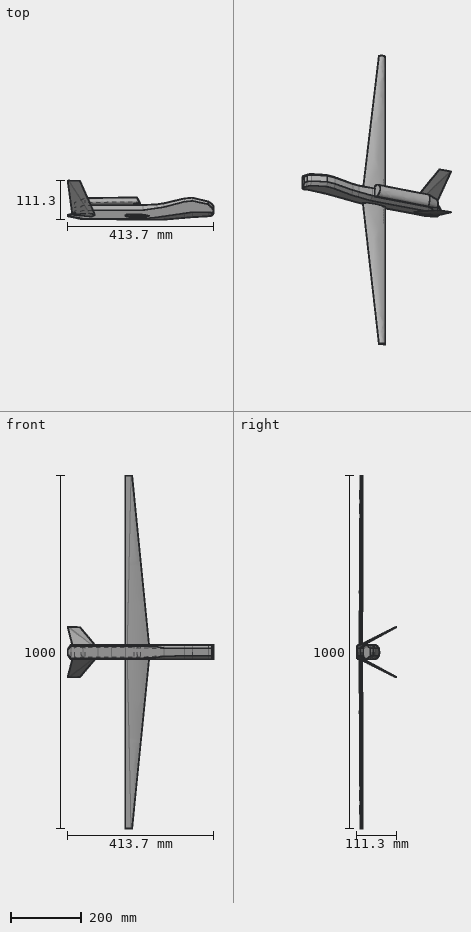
import cadquery as cq

LENGTH = 413.7
SPAN = 1000.0
HEIGHT = 111.25

BODY_HALF = 20.4
BELLY_HALF = 16.8
NOSE_FLAT_HALF = 10.5
DECK_HALF = 13.0
CHINE_Y = 27.0
DECK_Y = 42.0
TAIL_LIP_Y = 12.0

FUSELAGE_STATIONS = [
    (0.0, TAIL_LIP_Y - 2.0, 6.0, TAIL_LIP_Y - 1.0, 7.0, TAIL_LIP_Y + 1.0, TAIL_LIP_Y + 2.0, 6.0),
    (9.0, 8.1, BELLY_HALF, 9.5, BODY_HALF, 15.0, 16.0, BELLY_HALF),
    (43.0, 0.8, BELLY_HALF, 3.3, BODY_HALF, CHINE_Y, DECK_Y, DECK_HALF),
    (85.0, 1.5, BELLY_HALF, 3.5, BODY_HALF, CHINE_Y, DECK_Y, DECK_HALF),
    (124.0, 1.4, BELLY_HALF, 3.5, BODY_HALF, CHINE_Y, DECK_Y, DECK_HALF),
    (163.0, 0.0, BELLY_HALF, 3.0, BODY_HALF, CHINE_Y, DECK_Y, DECK_HALF),
    (213.0, 0.0, BELLY_HALF, 3.0, BODY_HALF, CHINE_Y, DECK_Y, DECK_HALF),
    (253.0, 0.0, 15.0, 7.0, BODY_HALF, 33.0, 44.0, NOSE_FLAT_HALF),
    (273.0, 0.0, 11.5, 10.0, BODY_HALF, 36.0, 47.0, NOSE_FLAT_HALF),
    (330.0, 5.0, NOSE_FLAT_HALF, 18.2, BODY_HALF, 51.0, 60.5, NOSE_FLAT_HALF),
    (353.0, 7.0, NOSE_FLAT_HALF, 21.5, BODY_HALF, 53.5, 63.0, NOSE_FLAT_HALF),
    (398.0, 9.5, NOSE_FLAT_HALF, 21.5, BODY_HALF, 44.0, 52.0, NOSE_FLAT_HALF),
    (408.0, 11.0, NOSE_FLAT_HALF, 20.0, BODY_HALF, 34.0, 46.0, NOSE_FLAT_HALF),
    (LENGTH, 18.0, NOSE_FLAT_HALF, 22.0, BODY_HALF, 27.0, 38.0, NOSE_FLAT_HALF),
]

NACELLE_HALF = 19.8
NACELLE_AFT_X = 19.0
NACELLE_FULL_X = 48.0
NACELLE_TOP_AFT_Y = 61.8
NACELLE_TOP_FRONT_Y = 64.0
NACELLE_BOTTOM_Y = 38.0
NACELLE_EXHAUST_HALF = 13.0
NACELLE_EXHAUST_BOTTOM_Y = 36.0
NACELLE_EXHAUST_TOP_Y = 49.0
INTAKE_TOP_X = 196.0
INTAKE_BOTTOM_X = 206.0
GAP_START_X = 188.0
GAP_TOP_Y = 45.8

WING_TRAILING_X = 163.0
WING_ROOT_LEADING_X = 233.0
WING_TIP_LEADING_X = 183.0
WING_ROOT_CREASE_X = 168.0
WING_TIP_CREASE_X = 178.9
WING_MEAN_Y = 11.0
WING_ROOT_THICKNESS = 9.5
WING_TIP_THICKNESS = 4.5

FIN_ROOT_Y = 7.5
FIN_ROOT_Z = 17.0
FIN_TIP_Z = 71.0
FIN_ROOT_CHORD = (14.0, 80.5)
FIN_TIP_CHORD = (0.0, 35.0)
FIN_ROOT_RIDGE_X = 70.0
FIN_TIP_RIDGE_X = 3.0
FIN_ROOT_THICKNESS = 5.0
FIN_TIP_THICKNESS = 1.5


def closed_polygon(points):
    return cq.Wire.makePolygon([cq.Vector(*p) for p in points], close=True)


def fuselage_section(x, belly_y, belly_half, low_y, side_half, high_y, top_y, top_half):
    right = [(belly_y, belly_half), (low_y, side_half), (high_y, side_half), (top_y, top_half)]
    left = [(y, -z) for y, z in reversed(right)]
    return closed_polygon([(x, y, z) for y, z in right + left])


def make_fuselage():
    sections = [fuselage_section(*station) for station in FUSELAGE_STATIONS]
    return cq.Workplane(cq.Solid.makeLoft(sections, True))


def nacelle_section(x, half_width, bottom_y, top_y):
    center = cq.Vector(x, (bottom_y + top_y) / 2, 0)
    half_height = (top_y - bottom_y) / 2
    axis = cq.Vector(1, 0, 0)
    seam_side = cq.Vector(0, -1, 0)
    return cq.Wire.makeEllipse(half_height, half_width, center, axis, seam_side)


def make_nacelle():
    shell = cq.Workplane(
        cq.Solid.makeLoft(
            [
                nacelle_section(
                    NACELLE_AFT_X,
                    NACELLE_EXHAUST_HALF,
                    NACELLE_EXHAUST_BOTTOM_Y,
                    NACELLE_EXHAUST_TOP_Y,
                ),
                nacelle_section(NACELLE_FULL_X, NACELLE_HALF, NACELLE_BOTTOM_Y, NACELLE_TOP_AFT_Y),
                nacelle_section(INTAKE_BOTTOM_X, NACELLE_HALF, NACELLE_BOTTOM_Y, NACELLE_TOP_FRONT_Y),
            ],
            True,
        )
    )
    profile = [
        (NACELLE_AFT_X, NACELLE_EXHAUST_BOTTOM_Y),
        (GAP_START_X, NACELLE_EXHAUST_BOTTOM_Y),
        (GAP_START_X, GAP_TOP_Y),
        (INTAKE_BOTTOM_X, GAP_TOP_Y),
        (INTAKE_TOP_X, NACELLE_TOP_FRONT_Y),
        (NACELLE_AFT_X, NACELLE_TOP_FRONT_Y),
    ]
    envelope = cq.Workplane("XY").polyline(profile).close().extrude(NACELLE_HALF, both=True)
    return shell.intersect(envelope)


def wing_section(z, leading_x, crease_x, thickness):
    top_y = WING_MEAN_Y + thickness / 2
    bottom_y = WING_MEAN_Y - thickness / 2
    crest_x = (crease_x + leading_x) / 2
    trailing = cq.Vector(WING_TRAILING_X, WING_MEAN_Y, z)
    crease = cq.Vector(crease_x, (WING_MEAN_Y + bottom_y) / 2, z)
    leading = cq.Vector(leading_x, WING_MEAN_Y, z)
    lower = cq.Edge.makeThreePointArc(crease, cq.Vector(crest_x, bottom_y, z), leading)
    upper = cq.Edge.makeThreePointArc(leading, cq.Vector(crest_x, top_y, z), trailing)
    return cq.Wire.assembleEdges([cq.Edge.makeLine(trailing, crease), lower, upper])


def make_wing_half():
    root = wing_section(0, WING_ROOT_LEADING_X, WING_ROOT_CREASE_X, WING_ROOT_THICKNESS)
    tip = wing_section(SPAN / 2, WING_TIP_LEADING_X, WING_TIP_CREASE_X, WING_TIP_THICKNESS)
    return cq.Workplane(cq.Solid.makeLoft([root, tip], True))


def fin_section(y, z, chord, ridge_x, thickness, face_normal):
    trailing_x, leading_x = chord
    offset = face_normal * (thickness / 2)
    middle = cq.Vector(ridge_x, y, z)
    return closed_polygon(
        [
            (trailing_x, y, z),
            (middle - offset).toTuple(),
            (leading_x, y, z),
            (middle + offset).toTuple(),
        ]
    )


def make_fin():
    span_y = HEIGHT - FIN_ROOT_Y
    span_z = FIN_TIP_Z - FIN_ROOT_Z
    face_normal = cq.Vector(0, -span_z, span_y).normalized()
    tip_y = HEIGHT + face_normal.y * FIN_TIP_THICKNESS / 2
    root = fin_section(
        FIN_ROOT_Y, FIN_ROOT_Z, FIN_ROOT_CHORD, FIN_ROOT_RIDGE_X, FIN_ROOT_THICKNESS, face_normal
    )
    tip = fin_section(
        tip_y, FIN_TIP_Z, FIN_TIP_CHORD, FIN_TIP_RIDGE_X, FIN_TIP_THICKNESS, face_normal
    )
    return cq.Workplane(cq.Solid.makeLoft([root, tip], True))


result = make_fuselage().union(make_nacelle())
for half in (make_wing_half(), make_fin()):
    result = result.union(half).union(half.mirror("XY"))